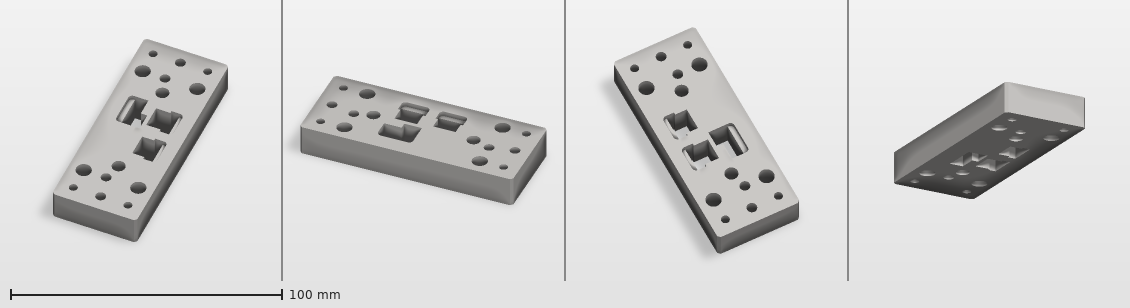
import cadquery as cq

WIDTH = 34.0
LENGTH = 85.0
THICKNESS = 12.0
CORNER_CHAMFER = 1.0

CORNER_HOLE_DIAMETER = 3.3
MOUNTING_HOLE_DIAMETER = 6.0
OFFSET_HOLE_DIAMETER = 4.0
CENTRE_HOLE_DIAMETER = 5.2
DOWEL_HOLE_DIAMETER = 4.0
DOWEL_HOLE_DEPTH = 8.0
SIDE_HOLE_X = 11.0
OFFSET_HOLE_X = -2.0
OUTER_ROW_Y = 36.5
MIDDLE_ROW_Y = 27.0
INNER_ROW_Y = 20.0

LEDGE_WIDTH = 2.0
LEDGE_DEPTH = 2.0
LEDGE_CORNER_RADIUS = 1.6

L_LEFT = -8.55
L_BOTTOM = 0.4
L_HEIGHT = 14.0
L_TOP_WIDTH = 5.4
L_FOOT_WIDTH = 8.0
L_FOOT_HEIGHT = 7.0

T_RIGHT = 9.85
T_SHOULDER_X = 6.8
T_CENTRE_Y = 7.5
T_HEAD_HEIGHT = 11.0
T_STEM_HEIGHT = 9.0
UPPER_T_LEFT = 1.0
LOWER_T_LEFT = 2.0


def make_plate():
    """Plate centred on the Z axis, resting on Z = 0, with chamfered upright corners."""
    plate = cq.Workplane("XY").box(WIDTH, LENGTH, THICKNESS, centered=(True, True, False))
    return plate.edges("|Z").chamfer(CORNER_CHAMFER)


def cylinders(x_positions, row_y, diameter, depth):
    """Cutters reaching down from the top face, in two rows at +row_y and -row_y."""
    points = [(x, y) for x in x_positions for y in (row_y, -row_y)]
    top = cq.Workplane("XY").workplane(offset=THICKNESS)
    return top.pushPoints(points).circle(diameter / 2).extrude(-depth)


def block(x_min, x_max, y_min, y_max, depth):
    """Rectangular cutter reaching down from the top face."""
    return cq.Workplane("XY").box(
        x_max - x_min, y_max - y_min, depth, centered=False
    ).translate((x_min, y_min, THICKNESS - depth))


def l_window():
    """L-shaped through window with a ledge along its left side."""
    top = L_BOTTOM + L_HEIGHT
    upright = block(L_LEFT, L_LEFT + L_TOP_WIDTH, L_BOTTOM, top, THICKNESS)
    foot = block(L_LEFT, L_LEFT + L_FOOT_WIDTH, L_BOTTOM, L_BOTTOM + L_FOOT_HEIGHT, THICKNESS)
    ledge = block(L_LEFT - LEDGE_WIDTH, L_LEFT + L_TOP_WIDTH, L_BOTTOM, top, LEDGE_DEPTH)
    ledge = ledge.edges("|Z and <X").fillet(LEDGE_CORNER_RADIUS)
    return upright.union(foot).union(ledge)


def t_window(stem_left, centre_y):
    """T-shaped through window, stem to the left, with a ledge along its right side."""
    head_bottom = centre_y - T_HEAD_HEIGHT / 2
    head_top = centre_y + T_HEAD_HEIGHT / 2
    stem_bottom = centre_y - T_STEM_HEIGHT / 2
    stem_top = centre_y + T_STEM_HEIGHT / 2
    stem = block(stem_left, T_RIGHT, stem_bottom, stem_top, THICKNESS)
    head = block(T_SHOULDER_X, T_RIGHT, head_bottom, head_top, THICKNESS)
    ledge = block(T_SHOULDER_X, T_RIGHT + LEDGE_WIDTH, head_bottom, head_top, LEDGE_DEPTH)
    ledge = ledge.edges("|Z and >X").fillet(LEDGE_CORNER_RADIUS)
    return stem.union(head).union(ledge)


side_pair = (-SIDE_HOLE_X, SIDE_HOLE_X)
cutters = [
    cylinders(side_pair, OUTER_ROW_Y, CORNER_HOLE_DIAMETER, THICKNESS),
    cylinders(side_pair, MIDDLE_ROW_Y, MOUNTING_HOLE_DIAMETER, THICKNESS),
    cylinders((OFFSET_HOLE_X,), MIDDLE_ROW_Y, OFFSET_HOLE_DIAMETER, THICKNESS),
    cylinders((0,), INNER_ROW_Y, CENTRE_HOLE_DIAMETER, THICKNESS),
    cylinders((0,), OUTER_ROW_Y, DOWEL_HOLE_DIAMETER, DOWEL_HOLE_DEPTH),
    l_window(),
    t_window(UPPER_T_LEFT, T_CENTRE_Y),
    t_window(LOWER_T_LEFT, -T_CENTRE_Y),
]

result = make_plate()
for cutter in cutters:
    result = result.cut(cutter)